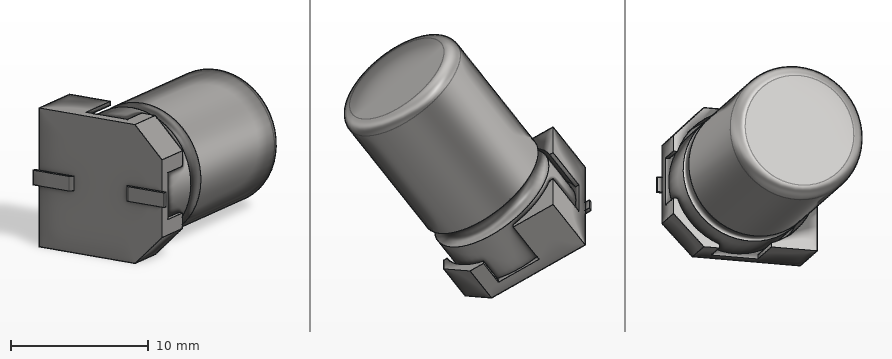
import cadquery as cq
import math

TOTAL_LENGTH = 17.0

LEAD_THICKNESS = 0.25
LEAD_WIDTH = 1.1
LEAD_LENGTH = 3.32
LEAD_SPAN = 11.2

BASE_SIDE = 10.5
BASE_CHAMFER = 2.31
FLOOR_THICKNESS = 0.85
TALL_POST_TOP = 4.2
LOW_POST_TOP = 2.8
NOTCH_WIDTH = 3.54
SEAT_RADIUS = BASE_SIDE / 2

CAN_RADIUS = 5.0
CAN_TOP = TOTAL_LENGTH - LEAD_THICKNESS
RIM_FILLET = 0.87
GROOVE_RADIUS = 0.7
GROOVE_CENTER = 5.07


def make_can():
    """Closed can standing on the base floor, with a rounded rim and a half-round crimp groove."""
    groove_start = GROOVE_CENTER - GROOVE_RADIUS
    groove_end = GROOVE_CENTER + GROOVE_RADIUS
    rim_offset = RIM_FILLET * (1 - math.sqrt(0.5))
    return (
        cq.Workplane("YZ")
        .moveTo(FLOOR_THICKNESS, 0)
        .lineTo(FLOOR_THICKNESS, CAN_RADIUS)
        .lineTo(groove_start, CAN_RADIUS)
        .threePointArc((GROOVE_CENTER, CAN_RADIUS - GROOVE_RADIUS), (groove_end, CAN_RADIUS))
        .lineTo(CAN_TOP - RIM_FILLET, CAN_RADIUS)
        .threePointArc(
            (CAN_TOP - rim_offset, CAN_RADIUS - rim_offset),
            (CAN_TOP, CAN_RADIUS - RIM_FILLET),
        )
        .lineTo(CAN_TOP, 0)
        .close()
        .revolve(360, (0, 0), (1, 0))
    )


def box_along_y(x_size, z_size, y_start, y_end, x_center=0.0):
    """Box between two Y levels, centred on Z = 0."""
    return (
        cq.Workplane("XY")
        .box(x_size, y_end - y_start, z_size)
        .translate((x_center, (y_start + y_end) / 2, 0))
    )


def make_base():
    """Square base with two chamfered corners, tall and low corner posts, and a seat for the can."""
    base = box_along_y(BASE_SIDE, BASE_SIDE, 0, TALL_POST_TOP)
    base = base.edges("|Y and >X").chamfer(BASE_CHAMFER)

    base = base.cut(
        box_along_y(BASE_SIDE / 2, BASE_SIDE, LOW_POST_TOP, TALL_POST_TOP, x_center=BASE_SIDE / 4)
    )

    base = base.cut(box_along_y(NOTCH_WIDTH, BASE_SIDE, FLOOR_THICKNESS, TALL_POST_TOP))
    base = base.cut(box_along_y(BASE_SIDE, NOTCH_WIDTH, FLOOR_THICKNESS, TALL_POST_TOP))

    seat = (
        cq.Workplane("XZ", origin=(0, FLOOR_THICKNESS, 0))
        .circle(SEAT_RADIUS)
        .extrude(FLOOR_THICKNESS - TALL_POST_TOP)
    )
    return base.cut(seat)


def make_lead(side):
    """Flat lead under the base on the given X side, with its inner end rounded on the outer face."""
    outer_x = side * LEAD_SPAN / 2
    inner_x = outer_x - side * LEAD_LENGTH
    arc_offset = LEAD_THICKNESS * math.sqrt(0.5)
    return (
        cq.Workplane("XY", origin=(0, 0, -LEAD_WIDTH / 2))
        .moveTo(outer_x, 0)
        .lineTo(inner_x, 0)
        .threePointArc(
            (inner_x + side * (LEAD_THICKNESS - arc_offset), -arc_offset),
            (inner_x + side * LEAD_THICKNESS, -LEAD_THICKNESS),
        )
        .lineTo(outer_x, -LEAD_THICKNESS)
        .close()
        .extrude(LEAD_WIDTH)
    )


can = make_can()
base = make_base()
leads = [make_lead(side) for side in (-1, 1)]

result = cq.Compound.makeCompound([can.val(), base.val(), *[lead.val() for lead in leads]])